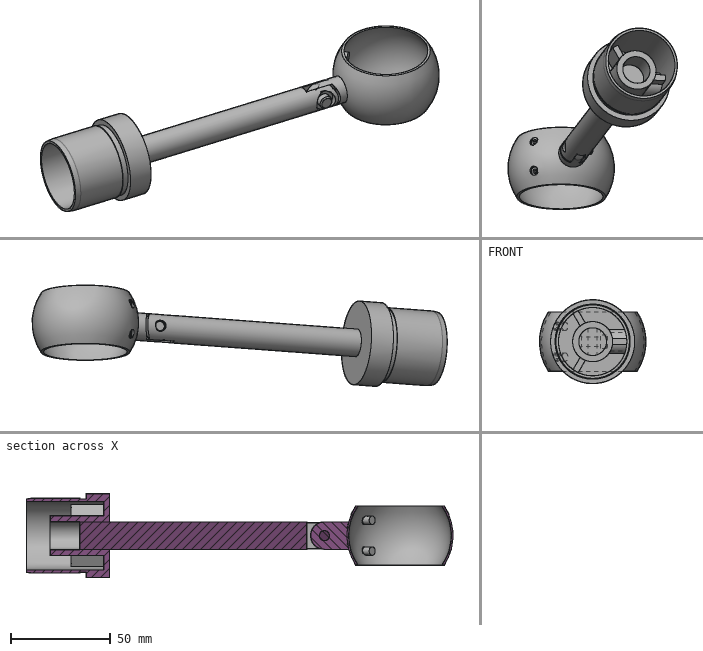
import cadquery as cq
import math

total_length = 215.4
rod_diameter = 14.0
rod_radius = rod_diameter / 2
cutter_half_length = rod_diameter

ball_radius = 27.0
ring_height = 30.0
ring_bore_radius = 21.1
ring_center_y = total_length / 2 - ball_radius
ball_cavity_radius = math.hypot(ring_bore_radius, ring_height / 2)

grub_radius = 2.2
grub_spacing = 15.5
grub_heights = (-grub_spacing / 2, grub_spacing / 2)
grub_angle = 225.0
grub_outer_reach = 24.8
grub_inner_reach = 19.8
grub_length = grub_outer_reach - grub_inner_reach
grub_socket_width = 2.2
grub_socket_depth = 2.0

hinge_y = 42.6
fork_slot_width = 4.5
fork_slot_end_y = 33.8
prong_tip_radius = 9.5
prong_tip_center_y = 40.3
shoulder_gap = 1.0

bolt_radius = 2.4
bolt_head_radius = 3.5
bolt_head_chamfer = 0.6
bolt_head_seat_x = 3.9
bolt_head_end_x = 7.5
bolt_end_recess = 1.3
bolt_end_x = bolt_end_recess - rod_radius
bolt_relief_radius = 2.8
counterbore_radius = 5.4

cap_end_y = -total_length / 2
cap_length = 42.0
cap_front_y = cap_end_y + cap_length
flange_diameter = 42.5
flange_radius = flange_diameter / 2
flange_length = 11.8
groove_length = 3.0
groove_radius = 18.5
plug_radius = 19.0
plug_end_radius = 18.5
plug_taper_length = 2.8
cap_cavity_radius = 17.2
cap_floor = 3.0
cap_floor_y = cap_front_y - cap_floor
hub_radius = 10.1
hub_height = 30.0
hub_end_y = cap_front_y - hub_height
rib_thickness = 3.0
rib_height = 19.4
rib_angles = (0, 120, 240)
screw_boss_radius = 6.0
screw_boss_y = cap_front_y - 7.0
wall_overlap = 0.6
rod_insertion = 15.0


def cylinder_along_y(radius, y_low, y_high):
    return cq.Workplane("XZ", origin=(0, y_low, 0)).circle(radius).extrude(y_low - y_high)


def cylinder_along_x(radius, x_low, x_high, y):
    return cq.Workplane("YZ", origin=(x_low, y, 0)).circle(radius).extrude(x_high - x_low)


def ball(radius):
    return cq.Workplane("XY", origin=(0, ring_center_y, 0)).sphere(radius)


def prong_tip_cylinder(radius):
    """Cylinder along X that rounds the prong tips and hollows the neck shoulder."""
    return cylinder_along_x(radius, -cutter_half_length, cutter_half_length, prong_tip_center_y)


def bolt_hole():
    return cylinder_along_x(bolt_radius, -cutter_half_length, cutter_half_length, hinge_y)


def grub_workplane(z):
    """Plane at the inner tip of a grub screw, facing outward along the screw axis."""
    angle = math.radians(grub_angle)
    outward = cq.Vector(math.cos(angle), math.sin(angle), 0)
    tip = cq.Vector(0, ring_center_y, z) + outward * grub_inner_reach
    return cq.Workplane(cq.Plane(origin=tip, xDir=(0, 0, 1), normal=outward))


def make_ring():
    band = cq.Workplane("XY", origin=(0, ring_center_y, 0)).circle(ball_radius)
    band = band.extrude(ring_height / 2, both=True)
    ring = ball(ball_radius).intersect(band).cut(ball(ball_cavity_radius))
    for z in grub_heights:
        ring = ring.cut(grub_workplane(z).circle(grub_radius).extrude(ball_radius))
    return ring


def make_grub(z):
    grub = grub_workplane(z).circle(grub_radius).extrude(grub_length)
    socket_corner_diameter = grub_socket_width / math.cos(math.pi / 6)
    socket = grub_workplane(z).workplane(offset=grub_length).polygon(6, socket_corner_diameter)
    return grub.cut(socket.extrude(-grub_socket_depth))


def make_neck():
    """Stem that meets the ball, with a hollowed shoulder and a round-ended tongue in the fork slot."""
    tongue_half = fork_slot_width / 2
    tongue_slab = cylinder_along_x(total_length, -tongue_half, tongue_half, hinge_y)
    shoulder = prong_tip_cylinder(prong_tip_radius + shoulder_gap).cut(tongue_slab)
    stem = cylinder_along_y(rod_radius, hinge_y, ring_center_y).cut(shoulder)
    tongue_end = cylinder_along_x(rod_radius, -tongue_half, tongue_half, hinge_y)
    tongue_end = tongue_end.intersect(cylinder_along_y(rod_radius, fork_slot_end_y, hinge_y))
    return stem.union(tongue_end).cut(ball(ball_radius)).cut(bolt_hole())


def make_rod():
    shaft = cylinder_along_y(rod_radius, cap_front_y - rod_insertion, fork_slot_end_y)
    prongs = cylinder_along_y(rod_radius, fork_slot_end_y, ring_center_y)
    prongs = prongs.intersect(prong_tip_cylinder(prong_tip_radius))
    slot = cq.Workplane("XY", origin=(0, fork_slot_end_y, 0)).box(
        fork_slot_width, total_length, rod_diameter, centered=(True, False, True)
    )
    relief = cylinder_along_x(bolt_relief_radius, -cutter_half_length, bolt_end_x, hinge_y)
    counterbore = cylinder_along_x(counterbore_radius, bolt_head_seat_x, cutter_half_length, hinge_y)
    return shaft.union(prongs).cut(slot).cut(bolt_hole()).cut(relief).cut(counterbore)


def make_bolt():
    shank = cylinder_along_x(bolt_radius, bolt_end_x, bolt_head_seat_x, hinge_y)
    head = cylinder_along_x(bolt_head_radius, bolt_head_seat_x, bolt_head_end_x, hinge_y)
    return shank.union(head.faces(">X").chamfer(bolt_head_chamfer))


def make_cap_shell():
    """Flange, groove and tapered-end plug, hollow from the -Y end up to the floor."""
    groove_start_y = cap_front_y - flange_length
    groove_end_y = groove_start_y - groove_length
    profile = [
        (0, cap_front_y),
        (flange_radius, cap_front_y),
        (flange_radius, groove_start_y),
        (groove_radius, groove_start_y),
        (groove_radius, groove_end_y),
        (plug_radius, groove_end_y),
        (plug_radius, cap_end_y + plug_taper_length),
        (plug_end_radius, cap_end_y),
        (cap_cavity_radius, cap_end_y),
        (cap_cavity_radius, cap_floor_y),
        (0, cap_floor_y),
    ]
    return cq.Workplane("XY").polyline(profile).close().revolve(360, (0, 0, 0), (0, 1, 0))


def make_cap():
    reach = cap_cavity_radius + wall_overlap
    inside = cylinder_along_y(reach, hub_end_y, cap_floor_y)
    hub = cylinder_along_y(hub_radius, hub_end_y, cap_floor_y)
    screw_boss = cylinder_along_x(screw_boss_radius, 0, reach, screw_boss_y).intersect(inside)
    cap = make_cap_shell().union(hub).union(screw_boss)
    rib = cq.Workplane("XY", origin=(0, cap_front_y - rib_height, 0)).box(
        reach, rib_height - cap_floor, rib_thickness, centered=(False, False, True)
    )
    rib = rib.intersect(inside)
    for angle in rib_angles:
        cap = cap.union(rib.rotate((0, 0, 0), (0, 1, 0), angle))
    return cap.cut(cylinder_along_y(rod_radius, hub_end_y, cap_front_y))


ring = make_ring()
grubs = [make_grub(z) for z in grub_heights]
neck = make_neck()
rod = make_rod()
bolt = make_bolt()
cap = make_cap()

result = cq.Compound.makeCompound(
    [ring.val(), *[grub.val() for grub in grubs], neck.val(), rod.val(), bolt.val(), cap.val()]
)